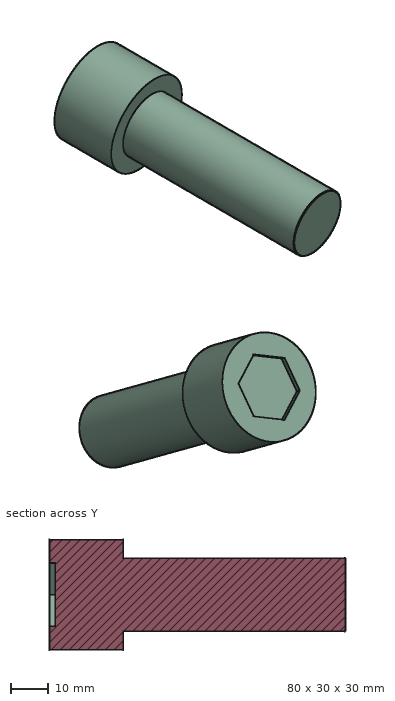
import cadquery as cq
import math

total_length = 80.0
shank_diameter = 20.0
head_diameter = 1.5 * shank_diameter
head_length = shank_diameter
shank_length = total_length - head_length
tip_chamfer = 0.2

socket_across_flats = 17.0
socket_across_corners = socket_across_flats / math.cos(math.pi / 6)
socket_depth = 1.5

head = cq.Workplane("YZ").circle(head_diameter / 2).extrude(head_length)

shank = (
    cq.Workplane("YZ", origin=(head_length, 0, 0))
    .circle(shank_diameter / 2)
    .extrude(shank_length)
    .faces(">X")
    .chamfer(tip_chamfer)
)

socket = (
    cq.Workplane("YZ")
    .polygon(6, socket_across_corners)
    .extrude(socket_depth)
)

result = head.union(shank).cut(socket)